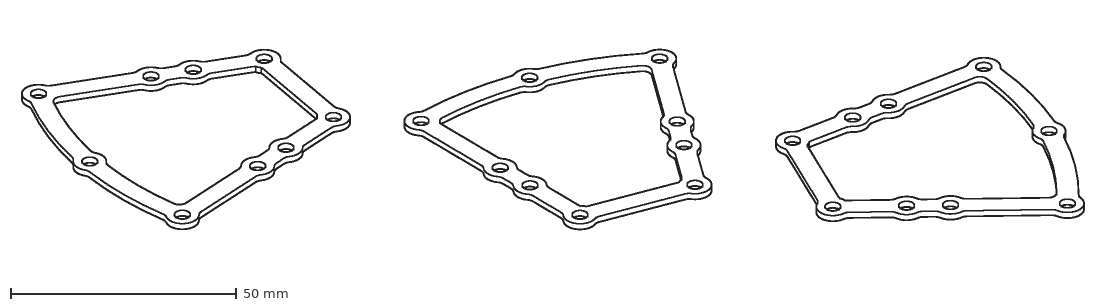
import cadquery as cq
import math

overall_x = 66.2
overall_y = 62.7
thickness = 1.5
hole_diameter = 3.5
boss_radius = 3.7
band_width = 4.9
blend_radius = 2.0

top_x = 14.2
top_y = overall_y / 2 - boss_radius
bottom_x = overall_x / 2 - boss_radius
bottom_y = -22.2
middle_heights = (12.0, 2.65)
arc_bottom_y = -top_y

half_band = band_width / 2
side_slope = (bottom_x - top_x) / (top_y - bottom_y)
side_stretch = math.hypot(1, side_slope)

arc_rise = bottom_y - arc_bottom_y
arc_radius = (bottom_x**2 + arc_rise**2) / (2 * arc_rise)
arc_center_y = arc_bottom_y + arc_radius


def side_x(y):
    """Half width of the gasket's centreline at height y."""
    return top_x + (top_y - y) * side_slope


corner_bolts = [(s * x, y) for s in (-1, 1) for x, y in ((top_x, top_y), (bottom_x, bottom_y))]
edge_bolts = [(s * side_x(y), y) for s in (-1, 1) for y in middle_heights]
edge_bolts.append((0, arc_bottom_y))
bolts = corner_bolts + edge_bolts


def base():
    return cq.Workplane("XY").workplane(offset=-thickness / 2)


def cylinders(points, radius):
    return base().pushPoints(points).circle(radius).extrude(thickness)


def fan_plate(offset):
    """Fan-shaped plate whose edge lies outside the centreline by offset."""
    upper_y = top_y + offset
    upper_x = side_x(upper_y) + offset * side_stretch
    radius = arc_radius + offset

    start_x = side_x(arc_center_y) + offset * side_stretch
    square_term = side_stretch**2
    half_linear = start_x * side_slope
    v = (half_linear - math.sqrt(half_linear**2 - square_term * (start_x**2 - radius**2))) / square_term
    lower_x = start_x - side_slope * v
    lower_y = arc_center_y + v

    return (
        base()
        .moveTo(-upper_x, upper_y)
        .lineTo(upper_x, upper_y)
        .lineTo(lower_x, lower_y)
        .threePointArc((0, arc_center_y - radius), (-lower_x, lower_y))
        .close()
        .extrude(thickness)
    )


outer = fan_plate(half_band).union(cylinders(bolts, boss_radius))
outer = outer.edges("|Z").fillet(blend_radius)

opening = fan_plate(-half_band)
opening = opening.cut(cylinders(edge_bolts, boss_radius))
opening = opening.edges("|Z").fillet(blend_radius)
opening = opening.cut(cylinders(corner_bolts, boss_radius))

result = outer.cut(opening).cut(cylinders(bolts, hole_diameter / 2))